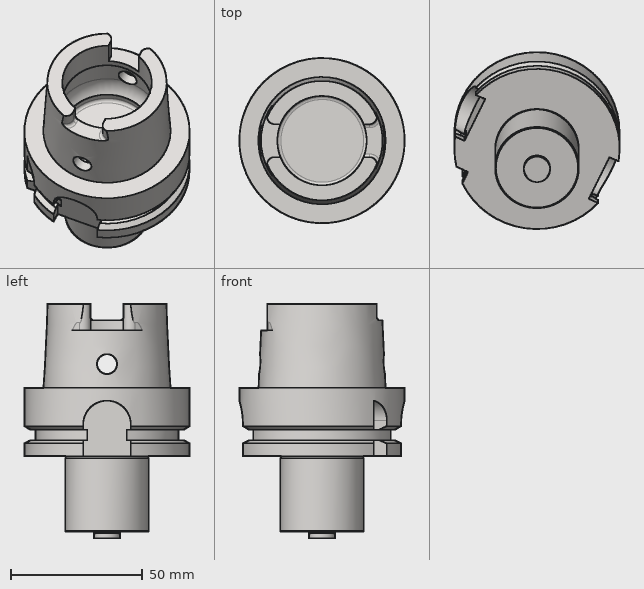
import cadquery as cq
import math

total_height = 89.3
flange_top = 57.3
groove_top_edge = 42.8
groove_top = 41.35
groove_bottom = 37.4
groove_bottom_edge = 36.2
flange_bottom = 31.3
shank_neck_end = 30.5
shank_bottom = 2.5
pin_neck_end = 2.0

taper_top_radius = 45.45 / 2
taper_base_radius = 48.5 / 2
flange_radius = 63.0 / 2
groove_lip_radius = 29.2
groove_radius = 27.3
shank_radius = 32.0 / 2
shank_neck_radius = shank_radius - 0.3
shank_chamfer = 0.4
pin_radius = 10.0 / 2
pin_neck_radius = pin_radius - 0.4

mouth_radius = 34.0 / 2
undercut_radius = 40.1 / 2
mouth_end = 76.4
clamping_face_slope = math.radians(30)
undercut_start = mouth_end - (undercut_radius - mouth_radius) * math.tan(clamping_face_slope)
undercut_end = 63.4
undercut_arc_radius = 8.0
undercut_arc_angle = math.acos(1 - (undercut_radius - mouth_radius) / undercut_arc_radius)
lower_bore_top = undercut_end - undercut_arc_radius * math.sin(undercut_arc_angle)
bore_floor = 53.6
floor_fillet = 1.25

cross_hole_diameter = 7.5
cross_hole_height = 66.35

rim_slot_half_width = 6.25
rim_slot_corner_radius = 2.9
rim_slot_corner_x = 18.0
rim_slot_flank_angle = math.radians(28.5)
deep_slot_floor = 79.2
shallow_slot_floor = 83.05
shallow_slot_fillet = 1.25

keyway_width = 18.1
keyway_top = 52.4
keyway_floor_x = 26.25

notch_radius = 8.0
notch_center_height = 45.0
notch_wall_y = -19.6
notch_floor_x = 19.7

clearance = 35.7


def turned_body():
    outline = [
        (0, 0),
        (pin_radius, 0),
        (pin_radius, pin_neck_end),
        (pin_neck_radius, pin_neck_end),
        (pin_neck_radius, shank_bottom),
        (shank_radius - shank_chamfer, shank_bottom),
        (shank_radius, shank_bottom + shank_chamfer),
        (shank_radius, shank_neck_end),
        (shank_neck_radius, shank_neck_end),
        (shank_neck_radius, flange_bottom),
        (flange_radius, flange_bottom),
        (flange_radius, groove_bottom_edge),
        (groove_lip_radius, groove_bottom),
        (groove_radius, groove_bottom),
        (groove_radius, groove_top),
        (groove_lip_radius, groove_top),
        (flange_radius, groove_top_edge),
        (flange_radius, flange_top),
        (taper_base_radius, flange_top),
        (taper_top_radius, total_height),
        (0, total_height),
    ]
    return cq.Workplane("XZ").polyline(outline).close().revolve(360, (0, 0), (0, 1))


def bore():
    half_angle = undercut_arc_angle / 2
    arc_middle = (
        undercut_radius - undercut_arc_radius * (1 - math.cos(half_angle)),
        undercut_end - undercut_arc_radius * math.sin(half_angle),
    )
    return (
        cq.Workplane("XZ")
        .moveTo(0, bore_floor)
        .lineTo(mouth_radius - floor_fillet, bore_floor)
        .radiusArc((mouth_radius, bore_floor + floor_fillet), -floor_fillet)
        .lineTo(mouth_radius, lower_bore_top)
        .threePointArc(arc_middle, (undercut_radius, undercut_end))
        .lineTo(undercut_radius, undercut_start)
        .lineTo(mouth_radius, mouth_end)
        .lineTo(mouth_radius, total_height)
        .lineTo(0, total_height)
        .close()
        .revolve(360, (0, 0), (0, 1))
    )


def rim_slot(floor_height, edge_fillet=0):
    """Slot toward +X whose corners round outward into slanted flanks."""
    center_y = rim_slot_half_width + rim_slot_corner_radius

    def corner_point(angle):
        return (
            rim_slot_corner_x + rim_slot_corner_radius * math.cos(angle),
            center_y + rim_slot_corner_radius * math.sin(angle),
        )

    def mirrored(point):
        return (point[0], -point[1])

    corner_start = corner_point(-math.pi / 2)
    corner_middle = corner_point((rim_slot_flank_angle - math.pi / 2) / 2)
    corner_end = corner_point(rim_slot_flank_angle)
    flank_end_y = taper_base_radius
    flank_run = (flank_end_y - corner_end[1]) * math.tan(rim_slot_flank_angle)
    flank_end = (corner_end[0] - flank_run, flank_end_y)
    outside = (clearance, flank_end_y)
    cutter = (
        cq.Workplane("XY", origin=(0, 0, floor_height))
        .moveTo(0, rim_slot_half_width)
        .lineTo(*corner_start)
        .threePointArc(corner_middle, corner_end)
        .lineTo(*flank_end)
        .lineTo(*outside)
        .lineTo(*mirrored(outside))
        .lineTo(*mirrored(flank_end))
        .lineTo(*mirrored(corner_end))
        .threePointArc(mirrored(corner_middle), mirrored(corner_start))
        .lineTo(0, -rim_slot_half_width)
        .close()
        .extrude(total_height - floor_height)
    )
    if edge_fillet:
        cutter = cutter.faces("<Z").edges().fillet(edge_fillet)
    return cutter


def round_topped_slot(center_y, radius, center_height, floor_x):
    """Slot facing +X, rounded at its top and open through the flange underside."""
    round_end = (
        cq.Workplane("YZ", origin=(floor_x, 0, 0))
        .center(center_y, center_height)
        .circle(radius)
        .extrude(clearance)
    )
    straight = cq.Workplane("XY").box(
        clearance, 2 * radius, center_height - flange_bottom, centered=(False, True, False)
    )
    return round_end.union(straight.translate((floor_x, center_y, flange_bottom)))


def half_turn(shape):
    return shape.rotate((0, 0, 0), (0, 0, 1), 180)


body = turned_body().cut(bore())

cross_hole = (
    cq.Workplane("YZ", origin=(-clearance, 0, cross_hole_height))
    .circle(cross_hole_diameter / 2)
    .extrude(2 * clearance)
)
body = body.cut(cross_hole)

body = body.cut(half_turn(rim_slot(deep_slot_floor)))
body = body.cut(rim_slot(shallow_slot_floor, shallow_slot_fillet))

keyway_radius = keyway_width / 2
keyway = round_topped_slot(0, keyway_radius, keyway_top - keyway_radius, keyway_floor_x)
body = body.cut(keyway).cut(half_turn(keyway))

notch = round_topped_slot(
    notch_wall_y - notch_radius, notch_radius, notch_center_height, notch_floor_x
)
result = body.cut(notch)